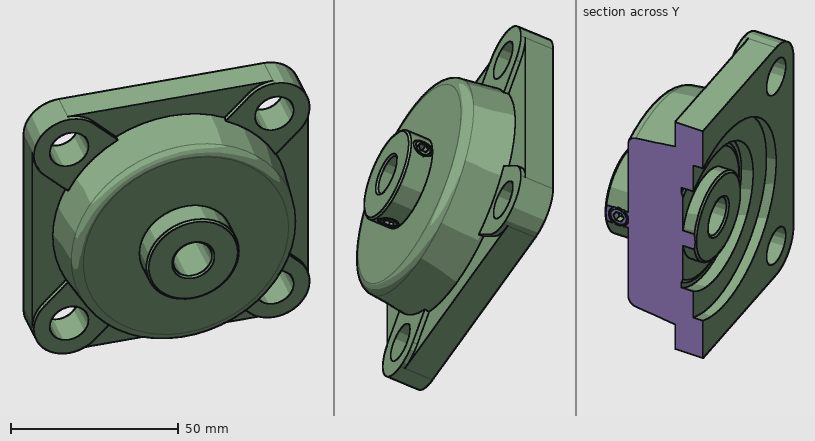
import cadquery as cq
import math

side = 86.0
plate_thickness = 9.5
pad_height = 11.0
corner_radius = 11.0
bolt_offset = side / 2 - corner_radius
bolt_hole_diameter = 12.0

housing_base_radius = 36.5
housing_end_radius = 35.0
housing_shoulder_x = 22.7
housing_end_x = 25.45
rim_radius = 3.0

recess_radius = bolt_offset
recess_depth = 3.3
seat_radius = 23.6
seat_depth = 7.2

ring_radius = 22.1
ring_bevel_width = 1.1
ring_face_x = 6.7

sleeve_radius = 14.45
sleeve_start_x = 2.3
sleeve_end_x = 33.3
sleeve_chamfer = 0.6
bore_radius = 6.0
bore_chamfer = 0.6

screw_x = 28.6
screw_radius = 3.3
screw_chamfer = 0.8
socket_corner_diameter = 3.4
socket_depth = 2.6
screw_angles = (0, -120)


def disc(radius, start_x, end_x):
    """Cylinder about the X axis."""
    return cq.Workplane("YZ", origin=(start_x, 0, 0)).circle(radius).extrude(end_x - start_x)


def flange():
    """Rounded square at pad height, lowered along each side to leave round-ended corner pads."""
    plate = cq.Workplane("YZ").rect(side, side).extrude(pad_height).edges("|X").fillet(corner_radius)
    diagonal = corner_radius * math.sin(math.radians(45))
    arc_mid_y = bolt_offset - corner_radius * math.sin(math.radians(22.5))
    arc_mid_z = bolt_offset + corner_radius * math.cos(math.radians(22.5))
    arc_end_y = bolt_offset - diagonal
    arc_end_z = bolt_offset + diagonal
    side_notch = (
        cq.Workplane("YZ", origin=(plate_thickness, 0, 0))
        .moveTo(bolt_offset, side / 2)
        .threePointArc((arc_mid_y, arc_mid_z), (arc_end_y, arc_end_z))
        .lineTo(0, arc_end_z - arc_end_y)
        .lineTo(-arc_end_y, arc_end_z)
        .threePointArc((-arc_mid_y, arc_mid_z), (-bolt_offset, side / 2))
        .close()
        .extrude(pad_height - plate_thickness)
    )
    for angle in (0, 90, 180, 270):
        plate = plate.cut(side_notch.rotate((0, 0, 0), (1, 0, 0), angle))
    return plate


def housing():
    taper = (housing_base_radius - housing_end_radius) / (housing_shoulder_x - pad_height)
    plate_radius = housing_base_radius + taper * (pad_height - plate_thickness)
    end_radius = housing_end_radius - taper * (housing_end_x - housing_shoulder_x)
    profile = (
        cq.Workplane("XY")
        .moveTo(0, 0)
        .lineTo(0, plate_radius)
        .lineTo(plate_thickness, plate_radius)
        .lineTo(housing_end_x, end_radius)
        .lineTo(housing_end_x, 0)
        .close()
    )
    cone = profile.revolve(360, (0, 0, 0), (1, 0, 0))
    return cone.faces(">X").edges().fillet(rim_radius)


def bolt_holes():
    return (
        cq.Workplane("YZ")
        .rect(2 * bolt_offset, 2 * bolt_offset, forConstruction=True)
        .vertices()
        .circle(bolt_hole_diameter / 2)
        .extrude(pad_height)
    )


def outer_ring():
    """Ring whose outer corner slopes down to the seat floor."""
    ring = disc(ring_radius, ring_face_x, plate_thickness)
    return ring.faces("<X").chamfer(seat_depth - ring_face_x, ring_bevel_width)


def sleeve():
    return disc(sleeve_radius, sleeve_start_x, sleeve_end_x).edges().chamfer(sleeve_chamfer)


def bore():
    hole = disc(bore_radius, sleeve_start_x, sleeve_end_x)
    for end_x, inward in ((sleeve_start_x, 1), (sleeve_end_x, -1)):
        mouth = cq.Solid.makeCone(
            bore_radius + bore_chamfer,
            bore_radius,
            bore_chamfer,
            cq.Vector(end_x, 0, 0),
            cq.Vector(inward, 0, 0),
        )
        hole = hole.union(cq.Workplane(mouth))
    return hole


def set_screw_cut(angle):
    """Groove around a chamfered screw head level with the sleeve surface, and its hexagonal socket."""
    plane = cq.Plane(origin=(screw_x, sleeve_radius, 0), xDir=(1, 0, 0), normal=(0, 1, 0))
    groove = cq.Workplane(plane).circle(screw_radius).extrude(-screw_chamfer)
    head = cq.Workplane(plane).circle(screw_radius).extrude(-socket_depth).faces(">Y").chamfer(screw_chamfer)
    socket = cq.Workplane(plane).polygon(6, socket_corner_diameter).extrude(-socket_depth)
    return groove.cut(head).union(socket).rotate((0, 0, 0), (1, 0, 0), angle)


body = flange().union(housing())
body = body.cut(bolt_holes())
body = body.cut(disc(recess_radius, 0, recess_depth))
body = body.cut(disc(seat_radius, 0, seat_depth))
body = body.union(outer_ring()).union(sleeve()).cut(bore())
for screw_angle in screw_angles:
    body = body.cut(set_screw_cut(screw_angle))

result = body